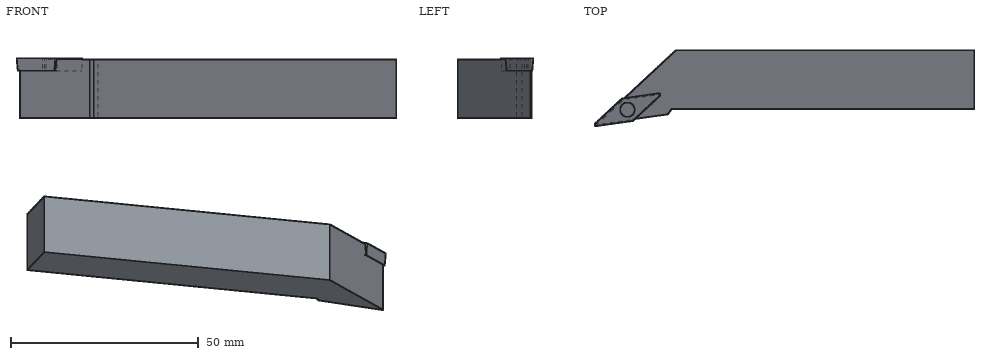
import cadquery as cq
import math

overall_length = 101.1
overall_width = 20.2
overall_height = 16.0

shank_size = 15.7
shank_front_y = overall_width - shank_size
tip_x = 0.9
heel_x = 19.5
heel_shoulder_x = 20.5
heel_y = 3.1
head_back_x = 21.6

inscribed_diameter = 6.4
point_angle = 35.0
front_edge_angle = 8.0
corner_radius = 0.4
insert_thickness = 3.3
relief_angle = 5.0
post_diameter = 3.8

back_edge_angle = front_edge_angle + point_angle
axis_angle = math.radians(front_edge_angle + point_angle / 2)
half_point_angle = math.radians(point_angle / 2)
inscribed_radius = inscribed_diameter / 2
half_long_diagonal = inscribed_radius / math.sin(half_point_angle)
half_short_diagonal = inscribed_radius / math.cos(half_point_angle)
tip_arc_distance = half_long_diagonal - corner_radius / math.sin(half_point_angle)
insert_x = tip_arc_distance * math.cos(axis_angle) + corner_radius
insert_y = tip_arc_distance * math.sin(axis_angle) + corner_radius
seat_z = overall_height - insert_thickness

tip_front_y = heel_y - (heel_x - tip_x) * math.tan(math.radians(front_edge_angle))
tip_back_y = overall_width - (head_back_x - tip_x) * math.tan(math.radians(back_edge_angle))


def make_insert_blank():
    """Rhombic insert without its hole, narrowing downward from the top face."""
    corners = [
        (half_long_diagonal, 0),
        (0, half_short_diagonal),
        (-half_long_diagonal, 0),
        (0, -half_short_diagonal),
    ]
    outline = cq.Sketch().polygon(corners + corners[:1]).vertices("<X or >X").fillet(corner_radius)
    return (
        cq.Workplane("XY")
        .placeSketch(outline)
        .extrude(-insert_thickness, taper=relief_angle)
        .rotate((0, 0, 0), (0, 0, 1), math.degrees(axis_angle))
        .translate((insert_x, insert_y, overall_height))
    )


def make_post():
    """Round locating post that fills the insert's hole, flush with its top."""
    return (
        cq.Workplane("XY", origin=(insert_x, insert_y, seat_z))
        .circle(post_diameter / 2)
        .extrude(insert_thickness)
    )


def make_insert():
    return make_insert_blank().cut(make_post())


def make_holder():
    """Shank and head, with a pocket matching the insert and a post in it."""
    outline = [
        (tip_x, tip_front_y),
        (heel_x, heel_y),
        (heel_shoulder_x, shank_front_y),
        (overall_length, shank_front_y),
        (overall_length, overall_width),
        (head_back_x, overall_width),
        (tip_x, tip_back_y),
    ]
    body = cq.Workplane("XY").polyline(outline).close().extrude(shank_size)
    return body.cut(make_insert_blank()).union(make_post())


holder = make_holder()
insert = make_insert()

result = cq.Compound.makeCompound([holder.val(), insert.val()])